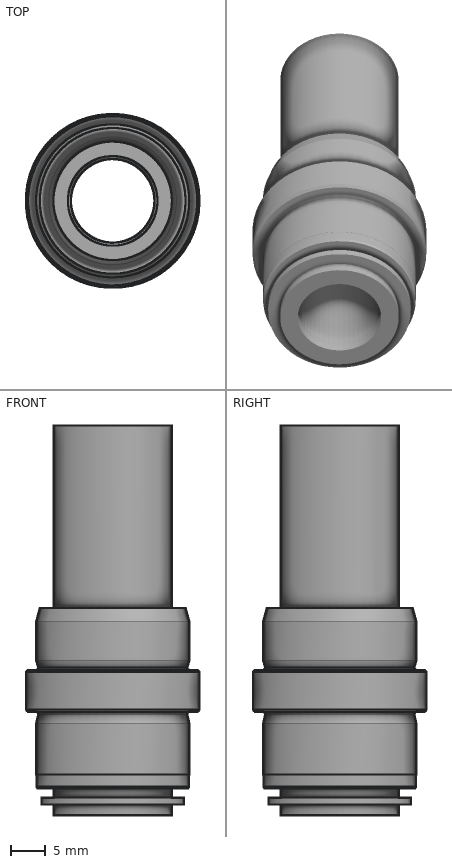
import cadquery as cq

TUBE_LENGTH = 56.0
TUBE_RADIUS = 17.0 / 2
BORE_RADIUS = 12.0 / 2
BORE_CHAMFER = 0.45
FLANGE_RADIUS = 20.5 / 2
FLANGE_BOTTOM = 1.5
FLANGE_THICKNESS = 1.0

SLEEVE_BOTTOM = 3.85
LOWER_BAND_TOP = 5.8
LOWER_BODY_TOP = 13.2
COLLAR_BOTTOM = 14.85
COLLAR_TOP = 20.9
UPPER_BODY_BOTTOM = 22.25
UPPER_BODY_TOP = 27.85
SLEEVE_TOP = 29.8

BODY_RADIUS = 22.0 / 2
LOWER_BAND_RADIUS = 21.95 / 2
NECK_RADIUS = 21.4 / 2
COLLAR_RADIUS = 25.0 / 2
SLEEVE_TOP_RADIUS = 20.95 / 2
COLLAR_CHAMFER = 0.35
COLLAR_FILLET = 0.35
BOTTOM_CHAMFER_WIDTH = 0.15
BOTTOM_CHAMFER_HEIGHT = 0.3
MOUTH_ROUNDING = 0.7


def revolve_about_z(outline):
    """Turn a closed (radius, height) outline into a solid of revolution."""
    return outline.close().revolve(360, (0, 0, 0), (0, 1, 0))


def make_tube():
    flange_top = FLANGE_BOTTOM + FLANGE_THICKNESS
    outline = cq.Workplane("XZ").polyline([
        (BORE_RADIUS, 0),
        (TUBE_RADIUS, 0),
        (TUBE_RADIUS, FLANGE_BOTTOM),
        (FLANGE_RADIUS, FLANGE_BOTTOM),
        (FLANGE_RADIUS, flange_top),
        (TUBE_RADIUS, flange_top),
        (TUBE_RADIUS, TUBE_LENGTH),
        (BORE_RADIUS + BORE_CHAMFER, TUBE_LENGTH),
        (BORE_RADIUS, TUBE_LENGTH - BORE_CHAMFER),
    ])
    return revolve_about_z(outline)


def make_sleeve():
    collar_face_radius = COLLAR_RADIUS - COLLAR_CHAMFER
    fillet_radius_on_collar = NECK_RADIUS + COLLAR_FILLET

    outline = cq.Workplane("XZ").polyline([
        (TUBE_RADIUS, SLEEVE_BOTTOM),
        (LOWER_BAND_RADIUS - BOTTOM_CHAMFER_WIDTH, SLEEVE_BOTTOM),
        (LOWER_BAND_RADIUS, SLEEVE_BOTTOM + BOTTOM_CHAMFER_HEIGHT),
        (LOWER_BAND_RADIUS, LOWER_BAND_TOP),
        (BODY_RADIUS, LOWER_BAND_TOP),
        (BODY_RADIUS, LOWER_BODY_TOP),
        (NECK_RADIUS, COLLAR_BOTTOM - COLLAR_FILLET),
    ])

    outline = outline.radiusArc((fillet_radius_on_collar, COLLAR_BOTTOM), COLLAR_FILLET)
    outline = outline.lineTo(collar_face_radius, COLLAR_BOTTOM)
    outline = outline.lineTo(COLLAR_RADIUS, COLLAR_BOTTOM + COLLAR_CHAMFER)
    outline = outline.lineTo(COLLAR_RADIUS, COLLAR_TOP - COLLAR_CHAMFER)
    outline = outline.lineTo(collar_face_radius, COLLAR_TOP)
    outline = outline.lineTo(fillet_radius_on_collar, COLLAR_TOP)
    outline = outline.radiusArc((NECK_RADIUS, COLLAR_TOP + COLLAR_FILLET), COLLAR_FILLET)

    outline = outline.lineTo(BODY_RADIUS, UPPER_BODY_BOTTOM)
    outline = outline.lineTo(BODY_RADIUS, UPPER_BODY_TOP)
    outline = outline.lineTo(SLEEVE_TOP_RADIUS, SLEEVE_TOP)
    outline = outline.lineTo(TUBE_RADIUS + MOUTH_ROUNDING, SLEEVE_TOP)

    outline = outline.radiusArc((TUBE_RADIUS, SLEEVE_TOP - MOUTH_ROUNDING), -MOUTH_ROUNDING)
    return revolve_about_z(outline)


tube = make_tube()
sleeve = make_sleeve()

result = cq.Compound.makeCompound([tube.val(), sleeve.val()])